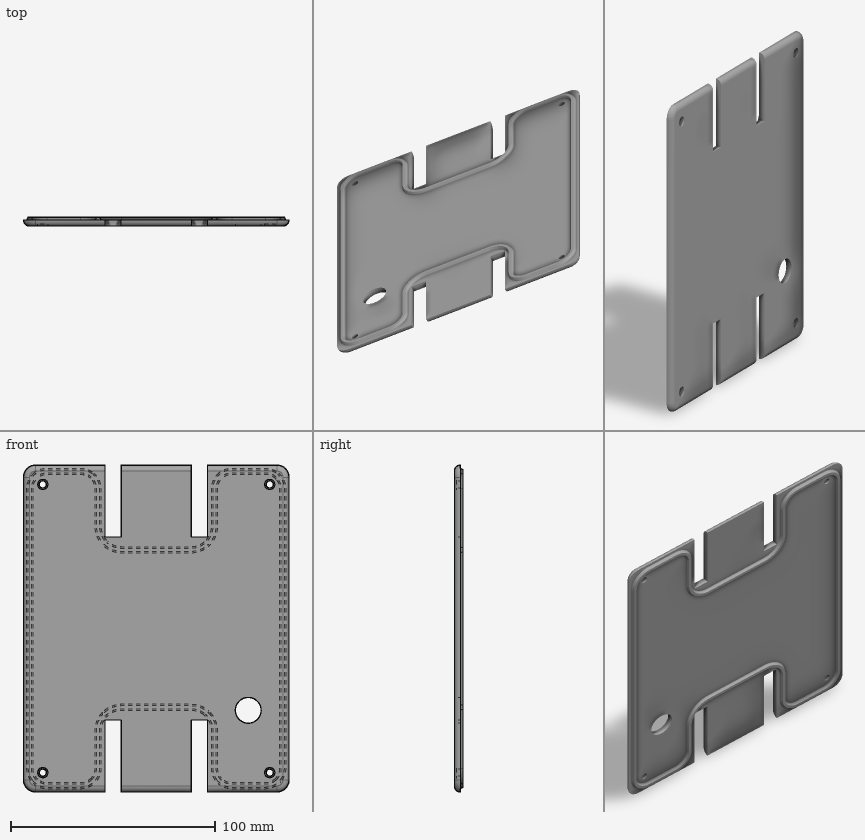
import cadquery as cq

PLATE_WIDTH = 130.0
PLATE_HEIGHT = 160.0
PLATE_THICKNESS = 3.0
PLATE_CORNER_RADIUS = 6.0
FRONT_EDGE_RADIUS = PLATE_THICKNESS

SLOT_WIDTH = 7.8
SLOT_DEPTH = 35.2
SLOT_CENTER_X = 21.1

SCREW_INSET = 9.5
SCREW_HOLE_DIAMETER = 3.4
SCREW_BORE_DIAMETER = 5.0
SCREW_BORE_DEPTH = 1.0

CABLE_HOLE_DIAMETER = 12.5
CABLE_HOLE_X = 45.0
CABLE_HOLE_Z = -40.0

BEAD_HEIGHT = 1.4
BEAD_WIDTH = 3.0
BEAD_EDGE_CLEARANCE = 1.6
BEAD_CORNER_RADIUS = 10.0
BEAD_TAPER_ANGLE = 28.0
BEAD_SLOT_SIDE_CLEARANCE = 2.0
BEAD_SLOT_END_CLEARANCE = 4.8

PLATE_HALF_WIDTH = PLATE_WIDTH / 2
PLATE_HALF_HEIGHT = PLATE_HEIGHT / 2
SCREW_X = PLATE_HALF_WIDTH - SCREW_INSET
SCREW_Z = PLATE_HALF_HEIGHT - SCREW_INSET
SCREW_POINTS = [(x, z) for x in (-SCREW_X, SCREW_X) for z in (-SCREW_Z, SCREW_Z)]
CABLE_POINTS = [(CABLE_HOLE_X, CABLE_HOLE_Z)]


def section_at(y):
    """XZ workplane at depth y; its normal is -Y, so negative extrusions run toward +Y."""
    return cq.Workplane(cq.Plane(origin=(0, y, 0), xDir=(1, 0, 0), normal=(0, -1, 0)))


def slab(y, width, height, thickness):
    return section_at(y).rect(width, height).extrude(-thickness)


def holes(points, diameter, y, depth):
    return section_at(y).pushPoints(points).circle(diameter / 2).extrude(-depth)


def plate_slots():
    """Four square-ended slots, two in the top edge and two in the bottom edge."""
    center_z = PLATE_HALF_HEIGHT - SLOT_DEPTH / 2
    centers = [(x, z) for x in (-SLOT_CENTER_X, SLOT_CENTER_X) for z in (-center_z, center_z)]
    return section_at(0).pushPoints(centers).rect(SLOT_WIDTH, SLOT_DEPTH).extrude(-PLATE_THICKNESS)


def make_plate():
    """Slotted plate with a rounded front edge, counterbored screw holes and a cable hole."""
    blank = slab(0, PLATE_WIDTH, PLATE_HEIGHT, 2 * PLATE_THICKNESS)
    blank = blank.edges("|Y").fillet(PLATE_CORNER_RADIUS)
    blank = blank.faces("<Y").edges().fillet(FRONT_EDGE_RADIUS)
    plate = blank.intersect(slab(0, PLATE_WIDTH, PLATE_HEIGHT, PLATE_THICKNESS))
    plate = plate.cut(plate_slots())
    plate = plate.cut(holes(SCREW_POINTS, SCREW_HOLE_DIAMETER, 0, PLATE_THICKNESS))
    plate = plate.cut(holes(SCREW_POINTS, SCREW_BORE_DIAMETER, 0, SCREW_BORE_DEPTH))
    return plate.cut(holes(CABLE_POINTS, CABLE_HOLE_DIAMETER, 0, PLATE_THICKNESS))


def bead_outline():
    """H-shaped outer outline of the bead: full height at the sides, stepped in around the slots."""
    x_outer = PLATE_HALF_WIDTH - BEAD_EDGE_CLEARANCE
    x_step = SLOT_CENTER_X + SLOT_WIDTH / 2 + BEAD_SLOT_SIDE_CLEARANCE
    z_outer = PLATE_HALF_HEIGHT - BEAD_EDGE_CLEARANCE
    z_step = PLATE_HALF_HEIGHT - SLOT_DEPTH - BEAD_SLOT_END_CLEARANCE

    upper_points = [
        (x_outer, z_outer),
        (x_step, z_outer),
        (x_step, z_step),
        (-x_step, z_step),
        (-x_step, z_outer),
        (-x_outer, z_outer),
    ]
    lower_points = [(-x, -z) for x, z in upper_points]
    outline = section_at(PLATE_THICKNESS).polyline(upper_points + lower_points).close()
    rounded_block = outline.extrude(-BEAD_HEIGHT).edges("|Y").fillet(BEAD_CORNER_RADIUS)
    return rounded_block.faces("<Y").wires().val()


def tapered_block(outline, taper_angle):
    """Block on the back of the plate whose walls lean inward for a positive angle."""
    return section_at(PLATE_THICKNESS).add(outline).toPending().extrude(-BEAD_HEIGHT, taper=taper_angle)


def make_bead():
    """Ring of trapezoidal section, narrower at the back, that follows the bead outline."""
    outer = bead_outline()
    inner = outer.offset2D(-BEAD_WIDTH)[0]
    block = tapered_block(outer, BEAD_TAPER_ANGLE)
    opening = tapered_block(inner, -BEAD_TAPER_ANGLE)
    return block.cut(opening)


plate = make_plate()
bead = make_bead()

result = cq.Compound.makeCompound([plate.val(), bead.val()])